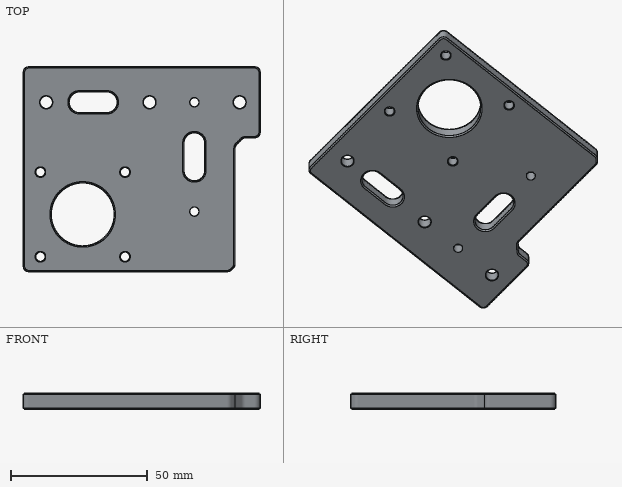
import cadquery as cq

length = 86.7
width = 75.0
thickness = 6.0
edge_chamfer = 0.5

notch_x = 77.5
notch_y = 49.0
inner_bevel = 3.0
lower_bevel = 2.0

corner_radius = 2.0

motor_x = 21.8
motor_y = 21.0
bore_diameter = 23.0
motor_hole_pitch = 31.0
motor_hole_diameter = 3.4
motor_hole_chamfer = 0.3

row_y = 62.0
column_x = 62.6
mount_hole_xs = (8.4, 46.2, 79.2)
mount_hole_diameter = 4.5
mount_hole_chamfer = 0.2
small_hole_diameter = 3.3
lower_small_hole_y = 22.0

slot_width = 7.55
slot_length = 17.5
row_slot_x = 25.6
column_slot_y = 42.1


def make_plate():
    """Notched plate with bevelled, rounded corners and chamfered outer edges."""
    outline = [
        (0, 0),
        (notch_x - lower_bevel, 0),
        (notch_x, lower_bevel),
        (notch_x, notch_y - inner_bevel),
        (notch_x + inner_bevel, notch_y),
        (length, notch_y),
        (length, width),
        (0, width),
    ]
    plate = cq.Workplane("XY").polyline(outline).close().extrude(thickness)
    plate = plate.edges("|Z").fillet(corner_radius)
    return plate.faces("<Z or >Z").edges().chamfer(edge_chamfer)


def hole_cutter(points, diameter, chamfer=0.0):
    """Through holes that widen by the chamfer at both plate faces."""
    cutter = cq.Workplane("XY").pushPoints(points).circle(diameter / 2).extrude(thickness)
    if chamfer:
        cutter = flare_ends(cutter, points, diameter / 2, chamfer)
    return cutter


def flare_ends(cutter, points, radius, chamfer):
    """Add a cone at each end of every hole."""
    for x, y in points:
        for z, direction in ((0, 1), (thickness, -1)):
            cone = cq.Solid.makeCone(
                radius + chamfer, radius, chamfer, cq.Vector(x, y, z), cq.Vector(0, 0, direction)
            )
            cutter = cutter.union(cone)
    return cutter


def slot_cutter(x, y, angle):
    """Through slot that widens by the edge chamfer at both plate faces."""
    cutter = cq.Workplane("XY").center(x, y).slot2D(slot_length, slot_width, angle).extrude(thickness)
    grow = 2 * edge_chamfer
    for z, taper_height in ((0, edge_chamfer), (thickness, -edge_chamfer)):
        flare = (
            cq.Workplane("XY", origin=(x, y, z))
            .slot2D(slot_length + grow, slot_width + grow, angle)
            .extrude(taper_height, taper=45)
        )
        cutter = cutter.union(flare)
    return cutter


half_pitch = motor_hole_pitch / 2
motor_holes = [
    (motor_x + side_x * half_pitch, motor_y + side_y * half_pitch)
    for side_x in (-1, 1)
    for side_y in (-1, 1)
]
mount_holes = [(x, row_y) for x in mount_hole_xs]
small_holes = [(column_x, row_y), (column_x, lower_small_hole_y)]

result = (
    make_plate()
    .cut(hole_cutter([(motor_x, motor_y)], bore_diameter, edge_chamfer))
    .cut(hole_cutter(motor_holes, motor_hole_diameter, motor_hole_chamfer))
    .cut(hole_cutter(mount_holes, mount_hole_diameter, mount_hole_chamfer))
    .cut(hole_cutter(small_holes, small_hole_diameter))
    .cut(slot_cutter(row_slot_x, row_y, 0))
    .cut(slot_cutter(column_x, column_slot_y, 90))
)